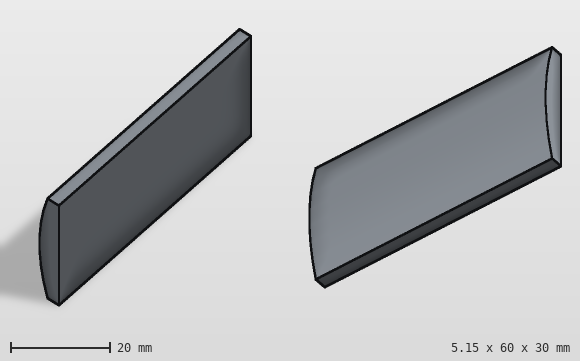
import cadquery as cq

length = 60.0
height = 30.0
edge_thickness = 3.0
crown_rise = 2.15

center_thickness = edge_thickness + crown_rise
half_height = height / 2

profile = (
    cq.Workplane("XZ")
    .moveTo(center_thickness, -half_height)
    .lineTo(center_thickness, half_height)
    .lineTo(crown_rise, half_height)
    .threePointArc((0, 0), (crown_rise, -half_height))
    .close()
)

result = profile.extrude(length / 2, both=True)